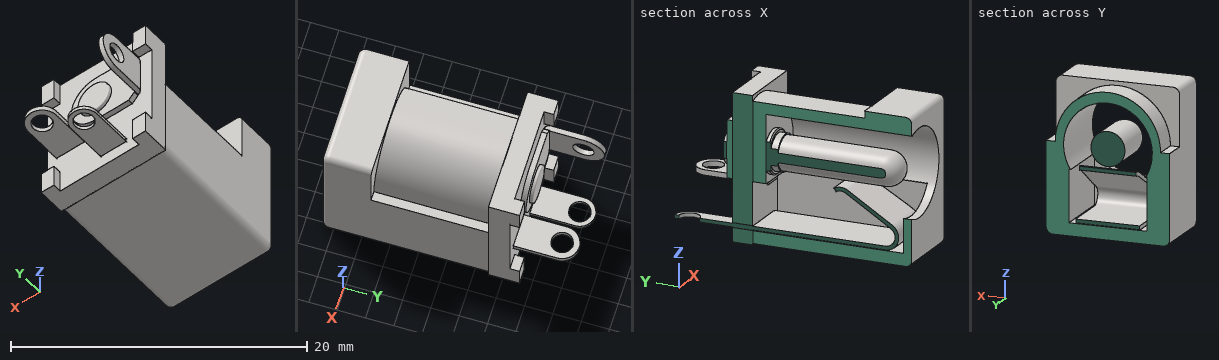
import cadquery as cq
import math


width = 9.0
total_length = 17.6
housing_top = 4.3
housing_bottom = -6.4
cover_top = 4.2
cover_bottom = -6.51

mouth_block_length = 3.5
housing_length = 11.8
shelf_z = 0.15
barrel_radius = 3.84
edge_radius = 0.5
bore_diameter = 6.4
back_wall = 1.0
bore_depth = housing_length - back_wall
chamber_start = 0.63
chamber_top = -1.72
chamber_bottom = -5.45
chamber_half_width = 2.82
tongue_half_width = 2.43
tongue_drop = 0.26

cover_rear = 14.0
post_height = 0.69
post_width = 1.1
post_depth = 1.9
cover_floor = cover_rear - post_height

lug_hole_diameter = 1.5
plate_thickness = 0.4
spring_thickness = 0.3

pin_tip = 1.02
pin_diameter = 2.5
pin_base_diameter = 2.7
pin_base_length = 0.53
collar_diameter = 3.2
collar_length = 0.35
collar_chamfer = 0.09
shank_diameter = 2.0
rivet_diameter = 2.7
rivet_rear = cover_rear
rivet_edge_radius = 0.09

ring_z = 0.1
ring_radius = 2.1
ring_rear = cover_floor + plate_thickness
ring_left = -3.3
ring_corner = 0.5
lug_radius = 1.5

switch_x = 2.5
switch_bottom = -3.0
switch_width = 2.43

spring_bottom = -5.44
spring_tab_x = -1.2
spring_tab_width = 2.2
spring_half_width = 2.32
spring_tip_half_width = 1.99
bend_radius = 1.0
bend_y = 1.97
ramp_angle = math.radians(31.5)
crest_top = -1.4


def block(x_range, y_range, z_range):
    """Box spanning the given ranges."""
    sizes = [end - start for start, end in (x_range, y_range, z_range)]
    corner = (x_range[0], y_range[0], z_range[0])
    return cq.Workplane("XY").box(*sizes, centered=False).translate(corner)


def rod(diameter, y_start, y_end, z=0.0):
    """Cylinder along Y."""
    base = cq.Workplane("XZ", origin=(0, y_start, z))
    return base.circle(diameter / 2).extrude(y_start - y_end)


def flat_tab(x, tab_width, y_start, z_bottom, thickness):
    """Horizontal solder tab with a round, pierced rear end."""
    radius = tab_width / 2
    eye_y = total_length - radius
    tab = block((x - radius, x + radius), (y_start, eye_y), (z_bottom, z_bottom + thickness))
    eye = cq.Workplane("XY", origin=(x, eye_y, z_bottom))
    tab = tab.union(eye.circle(radius).extrude(thickness))
    return tab.cut(eye.circle(lug_hole_diameter / 2).extrude(thickness))


def make_housing():
    side = width / 2
    body = block((-side, side), (0, housing_length), (housing_bottom, housing_top))
    body = body.edges("|Y").fillet(edge_radius).faces("<Y").edges().fillet(edge_radius)

    above_shelf = (shelf_z, housing_top)
    body = body.cut(block((-side, side), (mouth_block_length, housing_length), above_shelf))
    body = body.union(rod(2 * barrel_radius, mouth_block_length, housing_length, shelf_z))

    chamber = block(
        (-chamber_half_width, chamber_half_width),
        (chamber_start, housing_length),
        (chamber_bottom, chamber_top),
    )
    tongue = block(
        (-tongue_half_width, tongue_half_width),
        (bore_depth, housing_length),
        (chamber_top - tongue_drop, chamber_top),
    )
    body = body.cut(rod(bore_diameter, 0, bore_depth)).cut(chamber.cut(tongue))
    return body.cut(rod(shank_diameter, bore_depth, housing_length))


def make_cover():
    side = width / 2
    cover = block((-side, side), (housing_length, cover_rear), (cover_bottom, cover_top))

    channel_half_width = side - post_width
    channel_depth = (cover_floor, cover_rear)
    upright = block((-channel_half_width, channel_half_width), channel_depth, (cover_bottom, cover_top))
    level = block((-side, side), channel_depth, (cover_bottom + post_depth, cover_top - post_depth))
    cover = cover.cut(upright).cut(level)

    cover = cover.cut(rod(shank_diameter, housing_length, cover_floor))
    return cover.cut(make_switch_terminal()).cut(make_spring_tab())


def make_pin():
    radius = pin_diameter / 2
    ball_y = pin_tip + radius
    collar_start = bore_depth - collar_length
    pin = rod(pin_diameter, ball_y, collar_start)
    ball = (
        cq.Workplane("XY")
        .moveTo(0, pin_tip)
        .threePointArc((radius, ball_y), (0, ball_y + radius))
        .close()
        .revolve()
    )
    pin = pin.union(ball)
    pin = pin.union(rod(pin_base_diameter, collar_start - pin_base_length, collar_start))
    collar = rod(collar_diameter, collar_start, bore_depth)
    pin = pin.union(collar.faces("<Y").edges().chamfer(collar_chamfer))
    pin = pin.union(rod(shank_diameter, bore_depth, ring_rear))
    rivet_head = rod(rivet_diameter, ring_rear, rivet_rear)
    return pin.union(rivet_head.faces(">Y").edges().fillet(rivet_edge_radius))


def make_ring_terminal():
    plate = (
        cq.Workplane("XZ", origin=(0, cover_floor, ring_z))
        .moveTo(0, ring_radius)
        .threePointArc((ring_radius, 0), (0, -ring_radius))
        .lineTo(ring_left + ring_corner, -ring_radius)
        .lineTo(ring_left, ring_corner - ring_radius)
        .lineTo(ring_left, ring_radius - ring_corner)
        .lineTo(ring_left + ring_corner, ring_radius)
        .close()
        .extrude(-plate_thickness)
    )
    plate = plate.cut(rod(shank_diameter, cover_floor, ring_rear))

    bend_point = plate_thickness * math.sqrt(0.5)
    bend = (
        cq.Workplane("XY", origin=(ring_left, ring_rear, ring_z - lug_radius))
        .lineTo(0, -plate_thickness)
        .threePointArc((-bend_point, -bend_point), (-plate_thickness, 0))
        .close()
        .extrude(2 * lug_radius)
    )

    eye_y = total_length - lug_radius
    lug_outer = ring_left - plate_thickness
    lug = block(
        (lug_outer, ring_left),
        (ring_rear, eye_y),
        (ring_z - lug_radius, ring_z + lug_radius),
    )
    eye = cq.Workplane("YZ", origin=(lug_outer, eye_y, ring_z))
    lug = lug.union(eye.circle(lug_radius).extrude(plate_thickness))
    lug = lug.cut(eye.circle(lug_hole_diameter / 2).extrude(plate_thickness))
    return plate.union(bend).union(lug)


def make_switch_terminal():
    return flat_tab(switch_x, switch_width, housing_length, switch_bottom, plate_thickness)


def make_spring_tab():
    return flat_tab(spring_tab_x, spring_tab_width, housing_length, spring_bottom, spring_thickness)


def make_spring_leaf():
    """Front bend, rising ramp and rounded crest of the spring."""
    inner_radius = bend_radius - spring_thickness
    bend_z = spring_bottom + bend_radius
    crest_z = crest_top - bend_radius
    crest_y = bend_y + (crest_z - bend_z) / math.tan(ramp_angle)

    def on_bend(radius, angle):
        return (bend_y + radius * math.cos(angle), bend_z + radius * math.sin(angle))

    def on_crest(radius, angle):
        return (crest_y + radius * math.cos(angle), crest_z + radius * math.sin(angle))

    up = math.pi / 2
    rise = up + ramp_angle
    fall = up - ramp_angle
    profile = (
        cq.Workplane("YZ", origin=(-spring_half_width, 0, 0))
        .moveTo(*on_bend(bend_radius, -up))
        .threePointArc(on_bend(bend_radius, math.pi), on_bend(bend_radius, rise))
        .lineTo(*on_crest(bend_radius, rise))
        .threePointArc(on_crest(bend_radius, up), on_crest(bend_radius, fall))
        .lineTo(*on_crest(inner_radius, fall))
        .threePointArc(on_crest(inner_radius, up), on_crest(inner_radius, rise))
        .lineTo(*on_bend(inner_radius, rise))
        .threePointArc(on_bend(inner_radius, math.pi), on_bend(inner_radius, -up))
        .close()
        .extrude(2 * spring_half_width)
    )

    tip_y = crest_y + bend_radius
    plan = (
        cq.Workplane("XY", origin=(0, 0, spring_bottom))
        .polyline([
            (-spring_half_width, chamber_start),
            (spring_half_width, chamber_start),
            (spring_half_width, bend_y),
            (spring_tip_half_width, tip_y),
            (-spring_tip_half_width, tip_y),
            (-spring_half_width, bend_y),
        ])
        .close()
        .extrude(crest_top - spring_bottom)
    )
    return profile.intersect(plan)


def make_spring_terminal():
    base = block(
        (-spring_half_width, spring_half_width),
        (bend_y, housing_length),
        (spring_bottom, spring_bottom + spring_thickness),
    )
    return base.union(make_spring_leaf()).union(make_spring_tab())


housing = make_housing()
cover = make_cover()
pin = make_pin()
ring_terminal = make_ring_terminal()
switch_terminal = make_switch_terminal()
spring_terminal = make_spring_terminal()

result = cq.Compound.makeCompound([
    housing.solids().val(),
    cover.solids().val(),
    pin.solids().val(),
    ring_terminal.solids().val(),
    switch_terminal.solids().val(),
    spring_terminal.solids().val(),
])